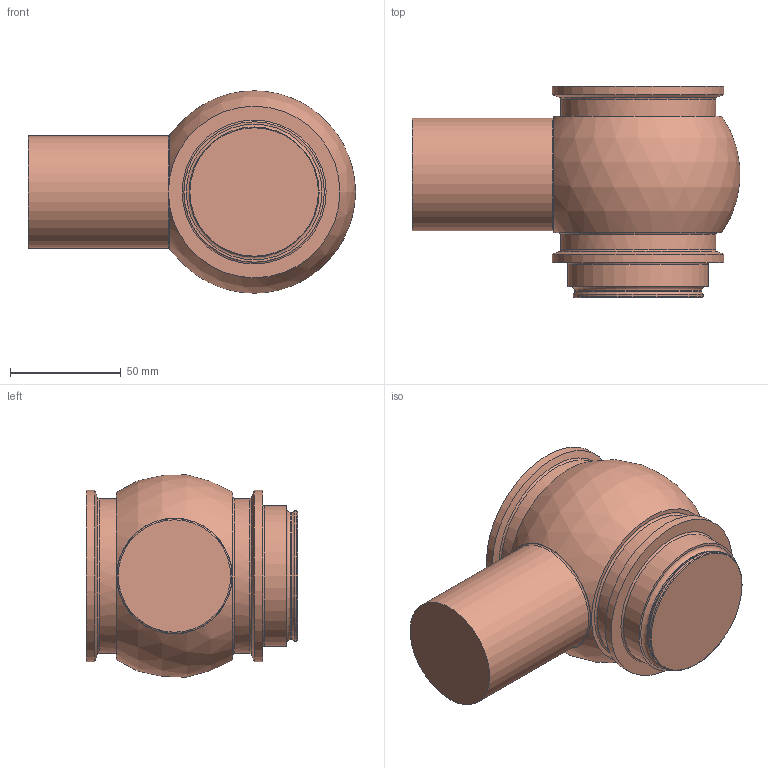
import cadquery as cq
import math

ball_radius = 46.03
port_flat = 26.3
tube_flat = 38.0

tube_diameter = 50.8
tube_end = 101.98
tube_root_fillet = 0.7

neck_diameter = 69.95
flange_diameter = 77.47
flange_face = 39.8
flange_rim_width = 3.8
flange_back_angle = 20.0
neck_root_fillet = 0.9

nose_diameter = 63.4
nose_shoulder = 50.6
nose_root_fillet = 0.8

groove_diameter = 57.28
groove_root_fillet = 2.0
groove_end = 53.0
lip_diameter = 58.73
lip_start = 54.2
lip_chamfer = 0.35
spigot_end = 55.65

tube_radius = tube_diameter / 2
neck_radius = neck_diameter / 2
flange_radius = flange_diameter / 2
nose_radius = nose_diameter / 2
groove_radius = groove_diameter / 2
lip_radius = lip_diameter / 2
flange_back = flange_face - flange_rim_width
taper_depth = (flange_radius - neck_radius) * math.tan(math.radians(flange_back_angle))
neck_end = flange_back - taper_depth


def revolve_about_y(profile):
    return profile.close().revolve(360, (0, 0, 0), (0, 1, 0))


def edge_ring(radius, y):
    """Select the circular edge of the given radius around the Y axis at y."""
    margin = 0.01
    return cq.selectors.BoxSelector(
        (-radius - margin, y - margin, -radius - margin),
        (radius + margin, y + margin, radius + margin),
        boundingbox=True,
    )


def make_ball():
    """Sphere trimmed by the two port flats and the tube flat."""
    envelope = cq.Workplane("XY").box(
        tube_flat + ball_radius, 2 * port_flat, 2 * ball_radius
    ).translate(((ball_radius - tube_flat) / 2, 0, 0))
    sphere = cq.Workplane("XZ").sphere(ball_radius)
    return sphere.intersect(envelope)


def make_tube():
    """Solid tube along -X with a small concave flare where it meets the ball."""
    flare_start = tube_flat + tube_root_fillet
    return (
        cq.Workplane("XY")
        .moveTo(0, 0)
        .lineTo(-tube_end, 0)
        .lineTo(-tube_end, tube_radius)
        .lineTo(-flare_start, tube_radius)
        .radiusArc((-tube_flat, tube_radius + tube_root_fillet), -tube_root_fillet)
        .lineTo(-tube_flat, 0)
        .lineTo(0, 0)
        .close()
        .revolve(360, (0, 0, 0), (1, 0, 0))
    )


def make_ferrule():
    """Neck and clamp flange on the -Y side."""
    return revolve_about_y(
        cq.Workplane("XY")
        .lineTo(neck_radius, 0)
        .lineTo(neck_radius, -neck_end)
        .lineTo(flange_radius, -flange_back)
        .lineTo(flange_radius, -flange_face)
        .lineTo(0, -flange_face)
    )


def make_nose():
    """Nose and grooved spigot in front of the -Y flange."""
    fillet_end = nose_shoulder + groove_root_fillet
    return revolve_about_y(
        cq.Workplane("XY")
        .lineTo(nose_radius, 0)
        .lineTo(nose_radius, -nose_shoulder)
        .lineTo(groove_radius + groove_root_fillet, -nose_shoulder)
        .radiusArc((groove_radius, -fillet_end), -groove_root_fillet)
        .lineTo(groove_radius, -groove_end)
        .tangentArcPoint((lip_radius, -lip_start), relative=False)
        .lineTo(lip_radius, -(spigot_end - lip_chamfer))
        .lineTo(lip_radius - lip_chamfer, -spigot_end)
        .lineTo(0, -spigot_end)
    )


def fillet_roots(body):
    """Round the inner corners of the necks and the nose; the back neck meets the ball sharply."""
    for y in (-port_flat, -neck_end, neck_end):
        body = body.edges(edge_ring(neck_radius, y)).fillet(neck_root_fillet)
    return body.edges(edge_ring(nose_radius, -flange_face)).fillet(nose_root_fillet)


front_ferrule = make_ferrule()
back_ferrule = front_ferrule.mirror("XZ")
body = make_ball().union(front_ferrule).union(back_ferrule).union(make_nose())
result = fillet_roots(body).union(make_tube())